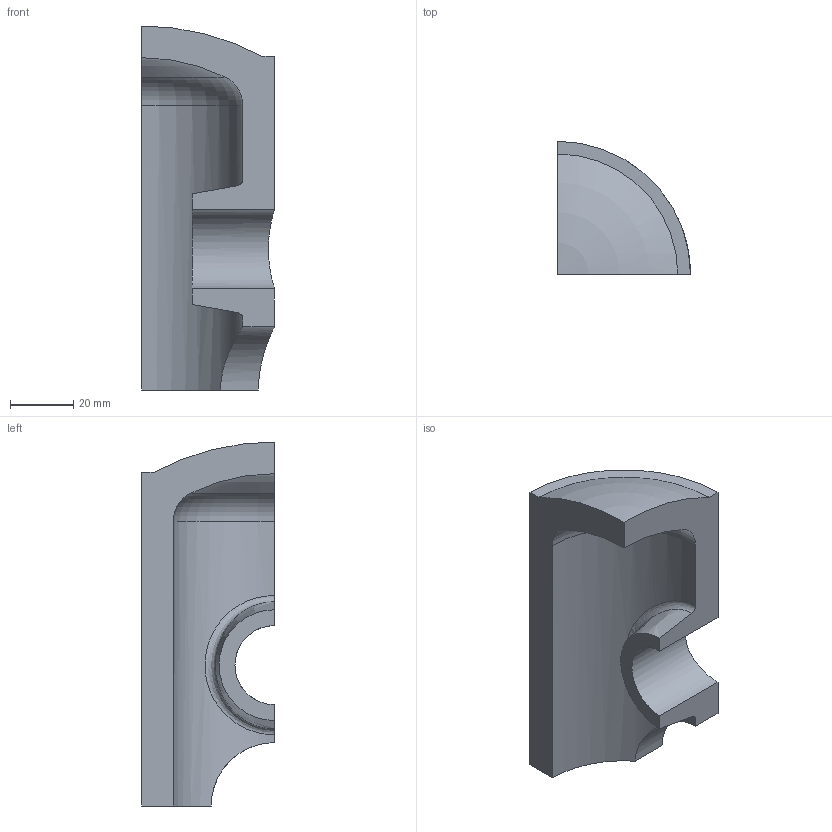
import cadquery as cq
import math

outer_radius = 42.0
wall = 10.0
inner_radius = outer_radius - wall
height = 115.0

crown_thickness = 10.0
rim_height = 105.5
rim_width = 4.0
ceiling_radius = 60.0
ceiling_fillet = 10.0

pin_height = 44.5
bore_radius = 12.5
boss_face_x = 16.0
boss_face_radius = 17.5
boss_draft = math.radians(10.0)
boss_fillet = 2.0

notch_radius = 20.0

overcut = 5.0


def polar(center, radius, angle):
    """Point at an angle, measured from +X, on a circle in the XZ plane."""
    return (center[0] + radius * math.cos(angle), center[1] + radius * math.sin(angle))


def crown_and_skirt():
    """Outer body of revolution: straight skirt, flat rim and domed top."""
    dome_edge_x = outer_radius - rim_width
    dome_rise = height - rim_height
    dome_radius = (dome_edge_x**2 + dome_rise**2) / (2 * dome_rise)
    dome_center = (0, height - dome_radius)
    rim_angle = math.acos(dome_edge_x / dome_radius)
    dome_middle = polar(dome_center, dome_radius, (math.pi / 2 + rim_angle) / 2)
    return (
        cq.Workplane("XZ")
        .lineTo(outer_radius, 0)
        .lineTo(outer_radius, rim_height)
        .lineTo(dome_edge_x, rim_height)
        .threePointArc(dome_middle, (0, height))
        .close()
        .revolve(360, (0, 0), (0, 1))
    )


def cavity():
    """Inner body of revolution: cylinder with a domed ceiling and rounded corner."""
    ceiling_height = height - crown_thickness
    dome_center = (0, ceiling_height - ceiling_radius)
    corner_x = inner_radius - ceiling_fillet
    center_distance = ceiling_radius - ceiling_fillet
    corner_center = (corner_x, dome_center[1] + math.sqrt(center_distance**2 - corner_x**2))
    corner_angle = math.acos(corner_x / center_distance)
    corner_middle = polar(corner_center, ceiling_fillet, corner_angle / 2)
    dome_end = polar(dome_center, ceiling_radius, corner_angle)
    dome_middle = polar(dome_center, ceiling_radius, (math.pi / 2 + corner_angle) / 2)
    return (
        cq.Workplane("XZ")
        .lineTo(inner_radius, 0)
        .lineTo(inner_radius, corner_center[1])
        .threePointArc(corner_middle, dome_end)
        .threePointArc(dome_middle, (0, ceiling_height))
        .close()
        .revolve(360, (0, 0), (0, 1))
    )


def pin_boss():
    """Drafted boss from its flat inner face to halfway through the wall."""
    root_limit = inner_radius + wall / 2
    length = root_limit - boss_face_x
    root_radius = boss_face_radius + length * math.tan(boss_draft)
    cone = cq.Solid.makeCone(
        boss_face_radius,
        root_radius,
        length,
        pnt=cq.Vector(boss_face_x, 0, pin_height),
        dir=cq.Vector(1, 0, 0),
    )
    inside_wall = cq.Workplane("XY").circle(root_limit).extrude(height)
    return cq.Workplane(cone).intersect(inside_wall)


def rod_along_x(radius, center_height):
    """Cylinder from the piston axis out through the wall on the +X side."""
    return (
        cq.Workplane("YZ")
        .center(0, center_height)
        .circle(radius)
        .extrude(outer_radius + overcut)
    )


piston = crown_and_skirt().cut(cavity()).union(pin_boss())
piston = piston.edges("%BSPLINE").fillet(boss_fillet)

piston = piston.cut(rod_along_x(bore_radius, pin_height))
piston = piston.cut(rod_along_x(notch_radius, 0))

quarter = cq.Workplane("XY").box(outer_radius, outer_radius, height, centered=False)
result = piston.intersect(quarter)